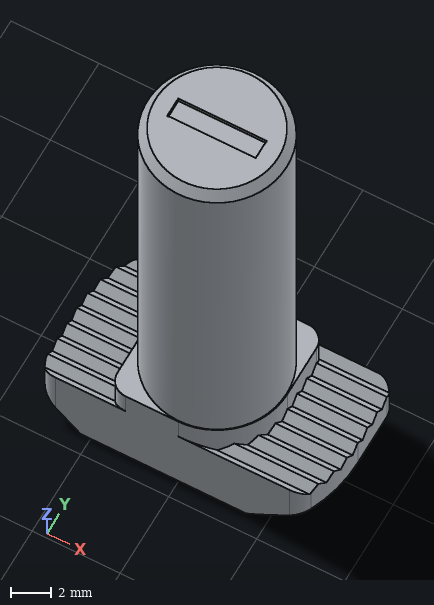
import cadquery as cq

total_height = 29.5
head_length = 16.0
head_width = head_length / 2
head_height = 4.5
neck_top = 6.02
shaft_radius = 3.95
shaft_chamfer_height = 0.55
shaft_chamfer_width = 0.47
corner_radius = 1.0
base_chamfer = 2.45
tooth_pitch = head_width / 8
tooth_depth = tooth_pitch / 2
slot_length = 5.02
slot_width = 1.12
slot_depth = 0.25

half_length = head_length / 2
half_width = head_width / 2


def box(x_min, x_max, y_min, y_max, height):
    """Block standing on the base plane between the given limits."""
    size = (x_max - x_min, y_max - y_min, height)
    return cq.Workplane("XY").box(*size, centered=False).translate((x_min, y_min, 0))


def turning_outline(half_span, height):
    """Rounded in two opposite quadrants, square in the other two, so it can turn in the slot."""
    rounded = cq.Workplane("XY").circle(half_span).extrude(height)
    rounded = rounded.intersect(box(-half_span, half_span, -half_width, half_width, height))
    square_front = box(-half_span, 0, -half_width, 0, height)
    square_back = box(0, half_span, 0, half_width, height)
    return rounded.union(square_front).union(square_back)


def chamfer_envelope():
    """Space inside the base chamfer: conical on the rounded quadrants, flat on the square ones."""
    half_profile = [
        (0, 0),
        (half_length - base_chamfer, 0),
        (half_length, base_chamfer),
        (half_length, head_height),
        (0, head_height),
    ]
    cone = cq.Workplane("XZ").polyline(half_profile).close().revolve(360, (0, 0, 0), (0, 1, 0))
    back_wedge = cq.Workplane("XZ").polyline(half_profile).close().extrude(-half_width)
    front_wedge = back_wedge.rotate((0, 0, 0), (0, 0, 1), 180)
    return cone.union(back_wedge).union(front_wedge)


def make_head():
    blank = turning_outline(half_length, head_height)
    corners = blank.faces("<Y or >Y").edges("|Z")
    return corners.fillet(corner_radius).intersect(chamfer_envelope())


def cut_serrations(head):
    """V grooves along X, with a tooth peak on the center line."""
    groove_count = round(head_width / tooth_pitch)
    for index in range(groove_count):
        start = -half_width + index * tooth_pitch
        groove = (
            cq.Workplane("YZ")
            .moveTo(start, head_height)
            .lineTo(start + tooth_pitch / 2, head_height - tooth_depth)
            .lineTo(start + tooth_pitch, head_height)
            .close()
            .extrude(half_length, both=True)
        )
        head = head.cut(groove)
    return head


def make_neck():
    neck = turning_outline(half_width, neck_top)
    front_corner = cq.selectors.NearestToPointSelector((-half_width, -half_width, neck_top / 2))
    back_corner = cq.selectors.NearestToPointSelector((half_width, half_width, neck_top / 2))
    return neck.edges("|Z").edges(front_corner + back_corner).fillet(corner_radius)


def make_shaft():
    shaft = (
        cq.Workplane("XY")
        .workplane(offset=neck_top)
        .circle(shaft_radius)
        .extrude(total_height - neck_top)
    )
    return shaft.faces(">Z").chamfer(shaft_chamfer_height, shaft_chamfer_width)


def make_slot():
    return (
        cq.Workplane("XY")
        .workplane(offset=total_height)
        .rect(slot_length, slot_width)
        .extrude(-slot_depth)
    )


head = cut_serrations(make_head())
result = head.union(make_neck()).union(make_shaft()).cut(make_slot())